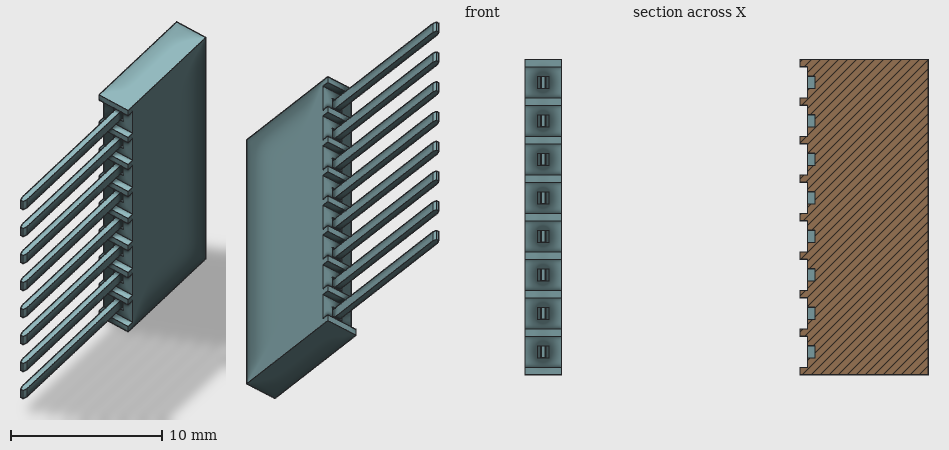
import cadquery as cq

pin_count = 8
overall_height = 20.83
rib_thickness = 0.5
pin_pitch = (overall_height - rib_thickness) / pin_count
housing_width = 2.42
housing_depth = 8.0
rib_depth = 0.5

overall_depth = 18.52
pin_thickness = 0.4
pin_height = 0.77
tip_length = 0.27
tip_thickness = 0.2

socket_width = 0.8
socket_height = socket_width
socket_depth = 0.5

back_y = overall_depth
housing_front_y = back_y - housing_depth
rib_front_y = housing_front_y - rib_depth
socket_floor_y = housing_front_y + socket_depth


def block(width, front_y, rear_y, bottom_z, height):
    """Box centred on X, spanning the given Y range and standing on bottom_z."""
    return (
        cq.Workplane("XY")
        .box(width, rear_y - front_y, height, centered=(True, False, False))
        .translate((0, front_y, bottom_z))
    )


def make_pin(bottom_z):
    """Blade from its tapered tip to the floor of its socket."""
    half_tip = tip_thickness / 2
    half_pin = pin_thickness / 2
    outline = [
        (-half_tip, 0),
        (half_tip, 0),
        (half_pin, tip_length),
        (half_pin, socket_floor_y),
        (-half_pin, socket_floor_y),
        (-half_pin, tip_length),
    ]
    return cq.Workplane("XY").workplane(offset=bottom_z).polyline(outline).close().extrude(pin_height)


result = block(housing_width, housing_front_y, back_y, 0, overall_height)

for rib_index in range(pin_count + 1):
    rib_bottom = rib_index * pin_pitch
    rib = block(housing_width, rib_front_y, housing_front_y, rib_bottom, rib_thickness)
    result = result.union(rib)

for pin_index in range(pin_count):
    pin_center = (pin_index + 0.5) * pin_pitch + rib_thickness / 2
    pin_bottom = pin_center - pin_height / 2
    socket_bottom = pin_center - socket_height / 2
    socket = block(socket_width, housing_front_y, socket_floor_y, socket_bottom, socket_height)
    result = result.cut(socket)
    result = result.union(make_pin(pin_bottom))